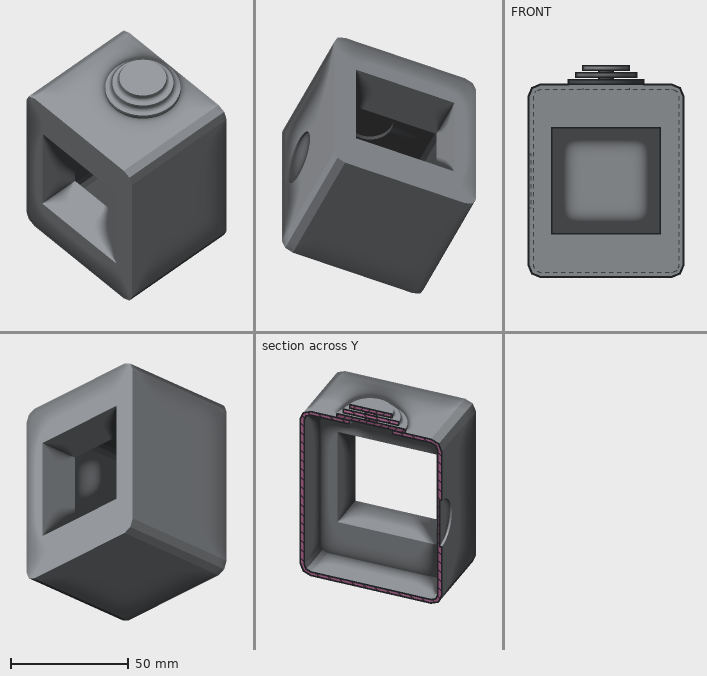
import cadquery as cq
import math

total_height = 90.0
housing_width = 66.0
housing_height = 82.0
housing_depth = 55.0
frame_depth = 19.0
corner_radius = 5.0
corner_flats = 2
wall = 2.0

window_width = 46.0
window_height = 45.0

ear_diameter = 23.0
ear_depth = wall / 2
neck_hole_diameter = 20.0

disc_diameters = [32.0, 26.0, 20.0]
spacer_diameter = 6.0
spacer_thickness = 1.0

spacer_count = len(disc_diameters) - 1
stack_height = total_height - housing_height
disc_thickness = (stack_height - spacer_count * spacer_thickness) / len(disc_diameters)
disc_pitch = disc_thickness + spacer_thickness
middle_z = housing_height / 2
shell_depth = housing_depth - frame_depth
shell_middle_y = frame_depth + shell_depth / 2


def faceted_block(width, height, radius, front_y, depth):
    """Block along +Y whose four long corners are each turned by a few flats."""
    corner_directions = [(1, 1, 0), (-1, 1, 90), (-1, -1, 180), (1, -1, 270)]
    points = []
    for side_x, side_z, start_angle in corner_directions:
        centre_x = side_x * (width / 2 - radius)
        centre_z = middle_z + side_z * (height / 2 - radius)
        for step in range(corner_flats + 1):
            angle = math.radians(start_angle + 90 * step / corner_flats)
            points.append((centre_x + radius * math.cos(angle), centre_z + radius * math.sin(angle)))
    outline = cq.Workplane("XZ", origin=(0, front_y, 0)).polyline(points).close()
    return outline.extrude(-depth)


def upright_disc(diameter, base_z, thickness):
    """Round disc on the vertical axis through the middle of the rear shell."""
    base = cq.Workplane("XY", origin=(0, shell_middle_y, base_z))
    return base.circle(diameter / 2).extrude(thickness)


def make_front_frame():
    """Front part of the housing with a rectangular window through it."""
    frame = faceted_block(housing_width, housing_height, corner_radius, 0, frame_depth)
    window = cq.Workplane("XY").box(
        window_width, frame_depth, window_height, centered=(True, False, True)
    )
    return frame.cut(window.translate((0, 0, middle_z)))


def make_rear_shell():
    """Rear part of the housing, hollow and open toward the frame."""
    shell = faceted_block(housing_width, housing_height, corner_radius, frame_depth, shell_depth)
    cavity = faceted_block(
        housing_width - 2 * wall,
        housing_height - 2 * wall,
        corner_radius - wall,
        frame_depth,
        shell_depth - wall,
    )
    ear_start = cq.Workplane("YZ", origin=(-housing_width / 2, shell_middle_y, middle_z))
    ear_recess = ear_start.circle(ear_diameter / 2).extrude(ear_depth)
    neck_hole = upright_disc(neck_hole_diameter, housing_height - wall, wall)
    return shell.cut(cavity).cut(ear_recess).cut(neck_hole)


def make_disc(level):
    """Disc of the stack; level 0 rests on the housing."""
    base_z = housing_height + level * disc_pitch
    return upright_disc(disc_diameters[level], base_z, disc_thickness)


def make_spacer(level):
    """Short round spacer on top of the disc of the same level."""
    base_z = housing_height + level * disc_pitch + disc_thickness
    return upright_disc(spacer_diameter, base_z, spacer_thickness)


front_frame = make_front_frame()
rear_shell = make_rear_shell()
discs = [make_disc(level) for level in range(len(disc_diameters))]
spacers = [make_spacer(level) for level in range(spacer_count)]

result = cq.Compound.makeCompound(
    [
        front_frame.val(),
        rear_shell.val(),
        *[disc.val() for disc in discs],
        *[spacer.val() for spacer in spacers],
    ]
)